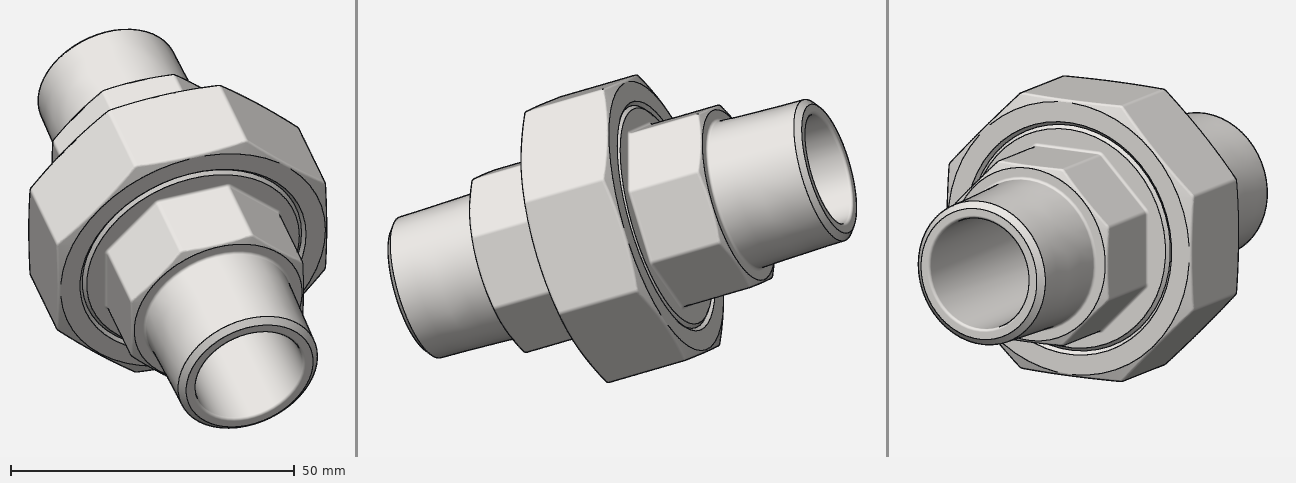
import cadquery as cq
import math


nut_half_width = 8.5
octagon_end = 22.5
tail_end = 40.0

nut_flats = 50.0
tail_flats = 32.0
corner_radius = 1.0
half_sector = math.pi / 8
edge_fillet = 0.5
chamfer_angle = 20.0
chamfer_inset = 0.4

mouth_diameter = 42.0
collar_face_diameter = 39.5
collar_diameter = (mouth_diameter + collar_face_diameter) / 2
groove_depth = (mouth_diameter - collar_face_diameter) / 4

bore_diameter = 20.0
bore_fillet = 0.5
spigot_root_diameter = 26.95
spigot_taper = 1 / 16
spigot_chamfer_length = 1.0
spigot_tip_diameter = 23.6
root_fillet = 0.5

selection_margin = 0.1


def cylinder(diameter, start, end):
    """Cylinder along X between two stations."""
    return cq.Workplane("YZ", origin=(start, 0, 0)).circle(diameter / 2).extrude(end - start)


def octagon_prism(flats, start, end):
    """Octagonal prism along X with flats on Y and Z and rounded corners."""
    side = flats * math.tan(half_sector)
    inset = (flats - side) / 2
    prism = cq.Workplane("YZ", origin=(start, 0, 0)).rect(flats, flats).extrude(end - start)
    prism = prism.edges("|X").chamfer(inset)
    return prism.edges("|X").fillet(corner_radius)


def chamfer_envelope(flats, start, end):
    """Round envelope whose conical end trims the octagon corners at the station `end`."""
    face_radius = flats / 2 - chamfer_inset
    outer_radius = flats / 2 / math.cos(half_sector)
    cone_length = (outer_radius - face_radius) * math.tan(math.radians(chamfer_angle))
    profile = [
        (start, 0),
        (start, outer_radius),
        (end - cone_length, outer_radius),
        (end, face_radius),
        (end, 0),
    ]
    return cq.Workplane("XY").polyline(profile).close().revolve(360, (0, 0, 0), (1, 0, 0))


def edges_on_face(station, diameter):
    """Selector for edges that lie in the plane X = station, within the given diameter."""
    reach = diameter / 2
    return cq.selectors.BoxSelector(
        (station - selection_margin, -reach, -reach),
        (station + selection_margin, reach, reach),
        boundingbox=True,
    )


def make_nut():
    nut = octagon_prism(nut_flats, -nut_half_width, nut_half_width)
    envelope = chamfer_envelope(nut_flats, 0, nut_half_width)
    nut = nut.intersect(envelope.union(envelope.mirror("YZ")))
    nut = nut.faces("%CONE").edges("not %CIRCLE").fillet(edge_fillet)
    nut = nut.cut(cylinder(collar_diameter, -nut_half_width, nut_half_width))
    for station in (-nut_half_width, nut_half_width):
        nut = nut.edges(edges_on_face(station, mouth_diameter)).chamfer(groove_depth)
    return nut


def make_spigot():
    """Tapered round end with a chamfered tip."""
    chamfer_start = tail_end - spigot_chamfer_length
    chamfer_diameter = spigot_root_diameter - spigot_taper * (chamfer_start - octagon_end)
    profile = [
        (octagon_end, 0),
        (octagon_end, spigot_root_diameter / 2),
        (chamfer_start, chamfer_diameter / 2),
        (tail_end, spigot_tip_diameter / 2),
        (tail_end, 0),
    ]
    return cq.Workplane("XY").polyline(profile).close().revolve(360, (0, 0, 0), (1, 0, 0))


def make_tailpiece():
    """Tailpiece on the +X side: collar, octagon and spigot around a through bore."""
    collar = cylinder(collar_diameter, 0, nut_half_width).faces(">X").edges().chamfer(groove_depth)
    octagon = octagon_prism(tail_flats, nut_half_width, octagon_end)
    octagon = octagon.intersect(chamfer_envelope(tail_flats, nut_half_width, octagon_end))
    octagon = octagon.faces("%CONE").edges("not %CIRCLE").fillet(edge_fillet)

    tail = collar.union(octagon)
    tail = tail.edges(edges_on_face(nut_half_width, tail_flats + root_fillet)).fillet(root_fillet)
    tail = tail.union(make_spigot())
    tail = tail.edges(edges_on_face(octagon_end, spigot_root_diameter + root_fillet)).fillet(root_fillet)

    tail = tail.cut(cylinder(bore_diameter, 0, tail_end))
    return tail.edges(edges_on_face(tail_end, bore_diameter + bore_fillet)).fillet(bore_fillet)


nut = make_nut()
right_tail = make_tailpiece()
left_tail = right_tail.mirror("YZ")

bodies = [body.solids().val() for body in (nut, left_tail, right_tail)]

result = cq.Compound.makeCompound(bodies)